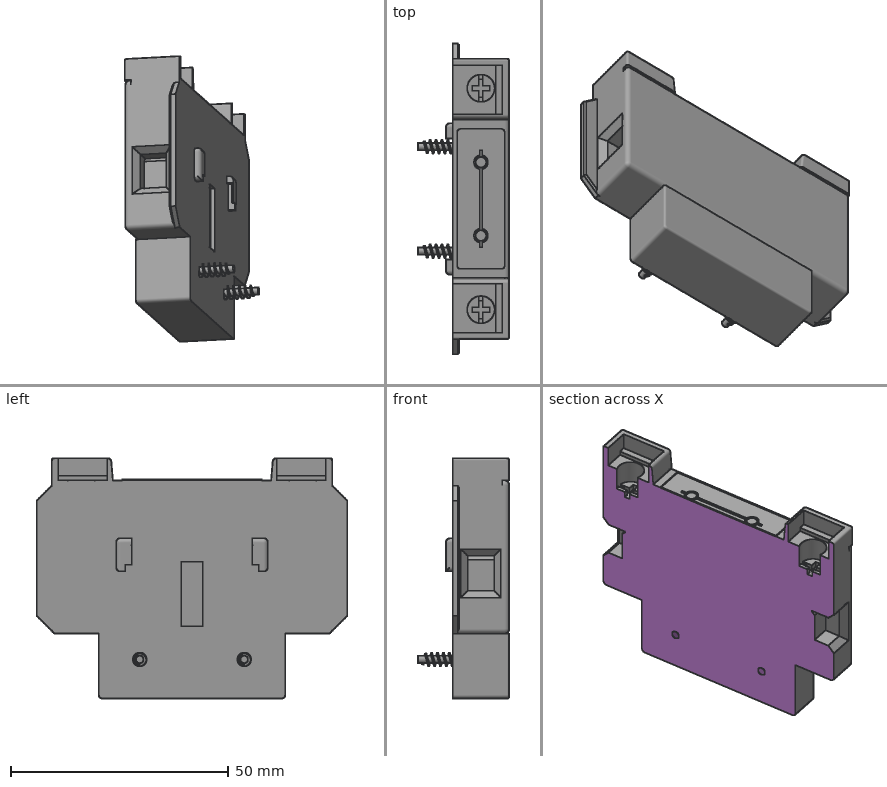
import cadquery as cq

OVERLAP = 0.7

HOUSING_WIDTH = 13.0
TOP_Z = 55.3
DECK_Z = 50.2
BLOCK_BOTTOM_Z = 14.95
BLOCK_HALF_LENGTH = 32.25
BLOCK_FILLET = 1.1
EDGE_FILLET = 0.5
LEG_HALF_LENGTH = 21.45
LEG_CORNER_FILLET = 0.85

FLANGE_HALF_LENGTH = 35.75
FLANGE_THICKNESS = 1.6
FLANGE_CHAMFER = 0.4
FLANGE_LOW_Z = 19.1
FLANGE_HIGH_Z = 45.5
FLANGE_FOOT_HALF_LENGTH = 31.6

TOWER_INNER_Y = 18.15
TOWER_DRAFT = 0.4
TOWER_INNER_FILLET = 0.85
TOWER_CORE_WIDTH = 11.45
TRAY_INNER_Y = 19.5
TRAY_OUTER_Y = 30.75
BEAD_WIDTH = 1.5
BEAD_HEIGHT = 1.0

TERMINAL_X = 6.5
TERMINAL_Y = 25.45
TERMINAL_DIAMETER = 6.3
TERMINAL_DEPTH = 5.7
DRIVER_SLOT_WIDTH = 0.9
DRIVER_SLOT_DEPTH = 0.6
CROSS_LENGTH = 4.1
CROSS_ARM_WIDTH = 1.2
CROSS_DEPTH = 1.4

ENTRY_X = 6.5
ENTRY_Z = 28.8
ENTRY_WIDTH = 9.2
ENTRY_HEIGHT = 11.15
ENTRY_TAPER = 1.6
ENTRY_DEPTH = 5.35
ENTRY_BACK_BEVEL = 0.85

POCKET_WIDTH = 5.0
POCKET_LOW_Z = 16.6
POCKET_HIGH_Z = 31.45
POCKET_DEPTH = 0.9
HOOK_HEIGHT = 1.6
HOOK_INNER_Y = 13.9
HOOK_OUTER_Y = 17.45
HOOK_LOW_Z = 29.25
HOOK_HIGH_Z = 36.9
HOOK_FILLET = 1.0
HOOK_NOTCH = 1.5
HOOK_LIP_THICKNESS = 0.35
HOOK_BRIDGE_HEIGHT = 1.6

SCREW_Y = 12.0
SCREW_Z = 9.0
SCREW_LENGTH = 8.0
SCREW_SEAT_DEPTH = 5.7
SCREW_CORE_RADIUS = 0.85
THREAD_RADIUS = 1.6
THREAD_PITCH = 1.35
THREAD_START_X = -6.85
THREAD_ROOT_WIDTH = 0.5
THREAD_CREST_WIDTH = 0.15
THREAD_ROOT_SINK = 0.15
THREAD_CLEARANCE = 0.1

LABEL_LEFT_X = 1.1
LABEL_HALF_LENGTH = 16.1
LABEL_THICKNESS = 0.2
LABEL_CORNER = 0.7
SYMBOL_X = 6.5
SYMBOL_DEPTH = 0.1
RING_Y = 8.45
RING_OUTER_DIAMETER = 3.2
RING_INNER_DIAMETER = 2.4
SYMBOL_LINE = 0.5
SYMBOL_HALF_LENGTH = 11.15


def box(x_range, y_range, z_range):
    """Axis-aligned box between pairs of coordinates."""
    lows, highs = zip(x_range, y_range, z_range)
    sizes = [high - low for low, high in zip(lows, highs)]
    return cq.Workplane("XY").box(*sizes, centered=False).translate(lows)


def yz_prism(points, start_x, end_x):
    """Prism along X over an outline of (y, z) points."""
    outline = cq.Workplane("YZ").polyline(points).close()
    return outline.extrude(end_x - start_x).translate((start_x, 0, 0))


def both_sides(part):
    """A part and its mirror image across the XZ plane, as one shape."""
    return part.union(part.mirror("XZ"))


def main_block():
    block = box(
        (0, HOUSING_WIDTH),
        (-BLOCK_HALF_LENGTH, BLOCK_HALF_LENGTH),
        (BLOCK_BOTTOM_Z, DECK_Z),
    )
    return block.faces(">X or <Y or >Y").edges("|X or >X").fillet(BLOCK_FILLET)


def leg():
    block = box(
        (0, HOUSING_WIDTH),
        (-LEG_HALF_LENGTH, LEG_HALF_LENGTH),
        (0, BLOCK_BOTTOM_Z),
    )
    rounded = block.faces("<Z").edges("|X").fillet(LEG_CORNER_FILLET)
    return rounded.faces(">X").edges("not >Z").fillet(EDGE_FILLET)


def leg_neck():
    """Joins the leg to the main block."""
    return box(
        (0, TOWER_CORE_WIDTH),
        (-LEG_HALF_LENGTH, LEG_HALF_LENGTH),
        (BLOCK_BOTTOM_Z - OVERLAP, BLOCK_BOTTOM_Z + OVERLAP),
    )


def flange():
    slope = (FLANGE_HALF_LENGTH - BLOCK_HALF_LENGTH) + OVERLAP
    half_outline = [
        (FLANGE_FOOT_HALF_LENGTH, BLOCK_BOTTOM_Z),
        (FLANGE_HALF_LENGTH, FLANGE_LOW_Z),
        (FLANGE_HALF_LENGTH, FLANGE_HIGH_Z),
        (FLANGE_HALF_LENGTH - slope, FLANGE_HIGH_Z + slope),
    ]
    other_half = [(-y, z) for y, z in reversed(half_outline)]
    plate = yz_prism(half_outline + other_half, 0, FLANGE_THICKNESS)
    return plate.faces(">X").edges().chamfer(FLANGE_CHAMFER)


def tower():
    """Rounded block of the +Y terminal tower, with the core that fills the block edge below it."""
    outline = [
        (TOWER_INNER_Y, DECK_Z),
        (BLOCK_HALF_LENGTH, DECK_Z),
        (BLOCK_HALF_LENGTH, TOP_Z),
        (TOWER_INNER_Y + TOWER_DRAFT, TOP_Z),
    ]
    block = yz_prism(outline, 0, HOUSING_WIDTH)
    block = block.faces(">Z").edges("|X").edges("<Y").fillet(TOWER_INNER_FILLET)
    block = block.faces(">Z").edges("|X").edges(">Y").fillet(EDGE_FILLET)
    block = block.faces(">X").edges("not <Z").fillet(EDGE_FILLET)
    core = box(
        (0, TOWER_CORE_WIDTH),
        (TOWER_INNER_Y, BLOCK_HALF_LENGTH),
        (DECK_Z - 2 * BLOCK_FILLET, DECK_Z),
    )
    return block.union(core)


def tray():
    """Cut for the tray in the +Y tower, open towards the mounting face, with a bead left in it."""
    tray_y = (TRAY_INNER_Y, TRAY_OUTER_Y)
    space = box((-OVERLAP, TOWER_CORE_WIDTH), tray_y, (DECK_Z, TOP_Z + OVERLAP))
    bead = box(
        (TOWER_CORE_WIDTH - BEAD_WIDTH, TOWER_CORE_WIDTH),
        tray_y,
        (DECK_Z, DECK_Z + BEAD_HEIGHT),
    )
    return space.cut(bead)


def terminal_hole(center_y):
    """Cut for a terminal screw hole with the driver recesses in its floor."""
    floor_z = DECK_Z - TERMINAL_DEPTH
    center = (TERMINAL_X, center_y, floor_z)
    bore = cq.Workplane("XY").circle(TERMINAL_DIAMETER / 2).extrude(TERMINAL_DEPTH)
    slot = (
        cq.Workplane("XY")
        .rect(DRIVER_SLOT_WIDTH, TERMINAL_DIAMETER)
        .extrude(-DRIVER_SLOT_DEPTH)
        .intersect(cq.Workplane("XY").circle(TERMINAL_DIAMETER / 2).extrude(-DRIVER_SLOT_DEPTH))
    )
    long_arm = cq.Workplane("XY").rect(DRIVER_SLOT_WIDTH, CROSS_LENGTH).extrude(-CROSS_DEPTH)
    cross_arm = cq.Workplane("XY").rect(CROSS_LENGTH, CROSS_ARM_WIDTH).extrude(-CROSS_DEPTH)
    return bore.union(slot).union(long_arm).union(cross_arm).translate(center)


def wire_entry():
    """Cut for the wire entry on the -Y side: a 45 degree funnel, then a straight shaft."""
    shaft_width = ENTRY_WIDTH - 2 * ENTRY_TAPER
    shaft_height = ENTRY_HEIGHT - 2 * ENTRY_TAPER
    mouth = cq.Workplane("XZ").rect(ENTRY_WIDTH, ENTRY_HEIGHT)
    funnel = mouth.workplane(offset=-ENTRY_TAPER).rect(shaft_width, shaft_height).loft(ruled=True)
    shaft = cq.Workplane("XZ").rect(shaft_width, shaft_height).extrude(-ENTRY_DEPTH)
    top_z = shaft_height / 2
    bevel = (
        cq.Workplane("YZ")
        .polyline([
            (ENTRY_DEPTH, top_z),
            (ENTRY_DEPTH + ENTRY_BACK_BEVEL, top_z),
            (ENTRY_DEPTH, top_z - ENTRY_BACK_BEVEL),
        ])
        .close()
        .extrude(shaft_width / 2, both=True)
    )
    return funnel.union(shaft).union(bevel).translate((ENTRY_X, -BLOCK_HALF_LENGTH, ENTRY_Z))


def face_pocket():
    half_width = POCKET_WIDTH / 2
    return box((0, POCKET_DEPTH), (-half_width, half_width), (POCKET_LOW_Z, POCKET_HIGH_Z))


def hook():
    """Hook on the +Y side: a bridge at the top and an outer post that carry a thin inner lip."""
    block = box(
        (-HOOK_HEIGHT, OVERLAP),
        (HOOK_INNER_Y, HOOK_OUTER_Y),
        (HOOK_LOW_Z, HOOK_HIGH_Z),
    )
    low_corner_round = block.faces("<Z").edges(">Y").fillet(HOOK_FILLET)
    front_edges = block.faces("<X").edges(">Y or >Z")
    top_rounds = front_edges.add(block.faces(">Z").edges(">Y")).fillet(HOOK_FILLET)
    inner_y = (HOOK_INNER_Y, HOOK_INNER_Y + HOOK_NOTCH)
    notch = box((-HOOK_HEIGHT, 0), inner_y, (HOOK_LOW_Z, HOOK_LOW_Z + HOOK_NOTCH))
    gap_behind_lip = box(
        (HOOK_LIP_THICKNESS - HOOK_HEIGHT, 0),
        inner_y,
        (HOOK_LOW_Z, HOOK_HIGH_Z - HOOK_BRIDGE_HEIGHT),
    )
    return low_corner_round.intersect(top_rounds).cut(notch).cut(gap_behind_lip)


def screw_seat(center_y):
    """Cut for the shank of a fixing screw."""
    seat = cq.Workplane("YZ").circle(SCREW_CORE_RADIUS).extrude(SCREW_SEAT_DEPTH)
    return seat.translate((0, center_y, SCREW_Z))


def make_housing():
    housing = main_block().union(leg()).union(leg_neck()).union(flange())
    housing = housing.union(both_sides(tower())).cut(both_sides(tray()))
    housing = housing.cut(both_sides(wire_entry())).cut(face_pocket())
    housing = housing.union(both_sides(hook()))
    for side in (-1, 1):
        housing = housing.cut(terminal_hole(side * TERMINAL_Y))
        housing = housing.cut(screw_seat(side * SCREW_Y))
    return housing


def thread():
    """Right-handed thread ridge along +X that ends at the mounting face."""
    length = -THREAD_START_X + THREAD_PITCH
    root_radius = SCREW_CORE_RADIUS - THREAD_ROOT_SINK
    helix = cq.Wire.makeHelix(THREAD_PITCH, length, root_radius)
    ridge = (
        cq.Workplane("XZ")
        .polyline([
            (root_radius, -THREAD_ROOT_WIDTH / 2),
            (THREAD_RADIUS, -THREAD_CREST_WIDTH / 2),
            (THREAD_RADIUS, THREAD_CREST_WIDTH / 2),
            (root_radius, THREAD_ROOT_WIDTH / 2),
        ])
        .close()
        .sweep(cq.Workplane(helix), isFrenet=True)
    )
    return ridge.rotate((0, 0, 0), (0, 1, 0), 90).translate((THREAD_START_X, 0, 0))


def thread_envelope():
    """Space for the thread: a cone that lets it fade in at the tip, cut off at the mounting face."""
    fade_end_x = THREAD_START_X + THREAD_PITCH
    outer_radius = THREAD_RADIUS + THREAD_CLEARANCE
    return (
        cq.Workplane("XY")
        .polyline([
            (THREAD_START_X - OVERLAP, 0),
            (THREAD_START_X - OVERLAP, SCREW_CORE_RADIUS),
            (fade_end_x, outer_radius),
            (0, outer_radius),
            (0, 0),
        ])
        .close()
        .revolve(360, (0, 0, 0), (1, 0, 0))
    )


def make_screw(center_y):
    core = (
        cq.Workplane("YZ", origin=(-SCREW_LENGTH, 0, 0))
        .circle(SCREW_CORE_RADIUS)
        .extrude(SCREW_LENGTH + SCREW_SEAT_DEPTH)
    )
    screw = core.union(thread().intersect(thread_envelope()))
    return screw.translate((0, center_y, SCREW_Z))


def circuit_symbol():
    """Cut for two rings joined by a line, with a short stub beyond each ring."""
    symbol = cq.Workplane("XY").rect(SYMBOL_LINE, 2 * SYMBOL_HALF_LENGTH).extrude(-SYMBOL_DEPTH)
    centers = [(0, -RING_Y), (0, RING_Y)]
    ring_centers = cq.Workplane("XY").pushPoints(centers)
    discs = ring_centers.circle(RING_OUTER_DIAMETER / 2).extrude(-SYMBOL_DEPTH)
    islands = ring_centers.circle(RING_INNER_DIAMETER / 2).extrude(-SYMBOL_DEPTH)
    return symbol.union(discs).cut(islands).translate((SYMBOL_X, 0, DECK_Z + LABEL_THICKNESS))


def make_label():
    plate = box(
        (LABEL_LEFT_X, HOUSING_WIDTH - BLOCK_FILLET),
        (-LABEL_HALF_LENGTH, LABEL_HALF_LENGTH),
        (DECK_Z, DECK_Z + LABEL_THICKNESS),
    )
    return plate.edges("|Z").fillet(LABEL_CORNER).cut(circuit_symbol())


housing = make_housing()
screws = [make_screw(side * SCREW_Y) for side in (-1, 1)]
label = make_label()

result = cq.Compound.makeCompound([
    housing.val(),
    *[screw.val() for screw in screws],
    label.val(),
])